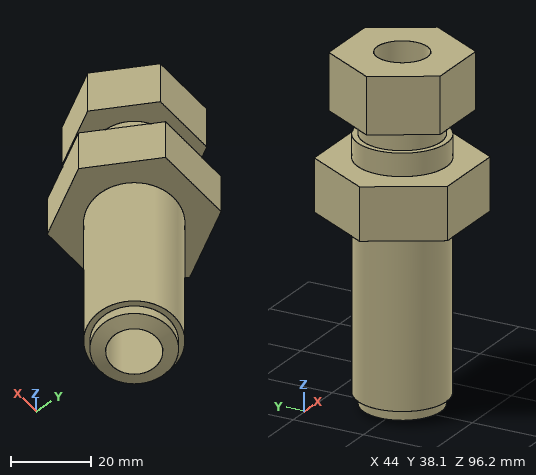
import cadquery as cq
import math

total_height = 96.2
head_height = 15.8
neck_height = 6.3
nut_height = 14.7
nut_bottom = 53.0
shank_bottom = 4.2
dome_height = 1.2

head_across_flats = 31.8
nut_across_flats = 38.1
shank_diameter = 25.3
neck_diameter = 22.1
bore_diameter = 14.2

head_bottom = total_height - head_height
shank_top = head_bottom - neck_height
shank_radius = shank_diameter / 2
neck_radius = neck_diameter / 2
bore_radius = bore_diameter / 2

dome_center_z = (neck_radius**2 - bore_radius**2 + dome_height**2) / (2 * dome_height)
dome_radius = math.hypot(bore_radius, dome_center_z)
dome_mid_radius = (neck_radius + bore_radius) / 2
dome_mid_z = dome_center_z - math.sqrt(dome_radius**2 - dome_mid_radius**2)


def hex_prism(across_flats, bottom, height):
    """Hexagonal prism on the Z axis with two corners on the X axis."""
    across_corners = across_flats / math.cos(math.pi / 6)
    return (
        cq.Workplane("XY")
        .workplane(offset=bottom)
        .polygon(6, across_corners)
        .extrude(height)
    )


def make_bolt():
    """Hollow bolt: stepped round shank with a domed end, and a hexagonal head."""
    shank = (
        cq.Workplane("XZ")
        .moveTo(bore_radius, 0)
        .threePointArc((dome_mid_radius, dome_mid_z), (neck_radius, dome_height))
        .lineTo(neck_radius, shank_bottom)
        .lineTo(shank_radius, shank_bottom)
        .lineTo(shank_radius, shank_top)
        .lineTo(neck_radius, shank_top)
        .lineTo(neck_radius, head_bottom)
        .lineTo(bore_radius, head_bottom)
        .close()
        .revolve(360, (0, 0, 0), (0, 1, 0))
    )
    head = hex_prism(head_across_flats, head_bottom, head_height)
    head = head.faces(">Z").workplane().hole(bore_diameter)
    return shank.union(head)


def make_nut():
    """Hexagonal nut whose hole fits the shank."""
    blank = hex_prism(nut_across_flats, nut_bottom, nut_height)
    return blank.faces(">Z").workplane().hole(shank_diameter)


bolt = make_bolt()
nut = make_nut()

result = cq.Compound.makeCompound([bolt.val(), nut.val()])